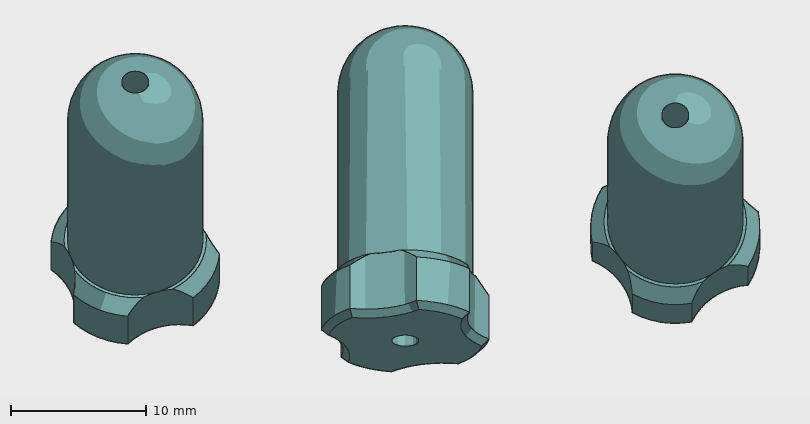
import cadquery as cq
import math

total_height = 24.9
body_radius = 5.0
hole_radius = 1.0
grip_radius = 6.25
grip_height = 5.0
grip_top_chamfer = 1.0
grip_bottom_chamfer = 0.5
scallop_count = 4
scallop_radius = 5.0

dome_center_z = total_height - math.sqrt(body_radius**2 - hole_radius**2)
scallop_center_distance = body_radius + scallop_radius


def make_body():
    """Cylinder standing on the grip, closed by a hemispherical dome."""
    cylinder = (
        cq.Workplane("XY")
        .workplane(offset=grip_height)
        .circle(body_radius)
        .extrude(dome_center_z - grip_height)
    )
    dome = cq.Workplane("XY").sphere(body_radius).translate((0, 0, dome_center_z))
    return cylinder.union(dome)


def make_grip():
    """Scalloped disc with a conical upper rim and a chamfer all round its lower outline."""
    disc = (
        cq.Workplane("XY")
        .circle(grip_radius)
        .extrude(grip_height)
        .faces(">Z")
        .edges()
        .chamfer(grip_top_chamfer)
    )
    scallops = (
        cq.Workplane("XY")
        .polarArray(scallop_center_distance, 0, 360, scallop_count)
        .circle(scallop_radius)
        .extrude(grip_height)
    )
    return disc.cut(scallops).faces("<Z").edges().chamfer(grip_bottom_chamfer)


def make_through_hole():
    """Round hole along the full axis, tall enough to pass the untrimmed dome tip."""
    return cq.Workplane("XY").circle(hole_radius).extrude(dome_center_z + body_radius)


result = make_body().union(make_grip()).cut(make_through_hole())